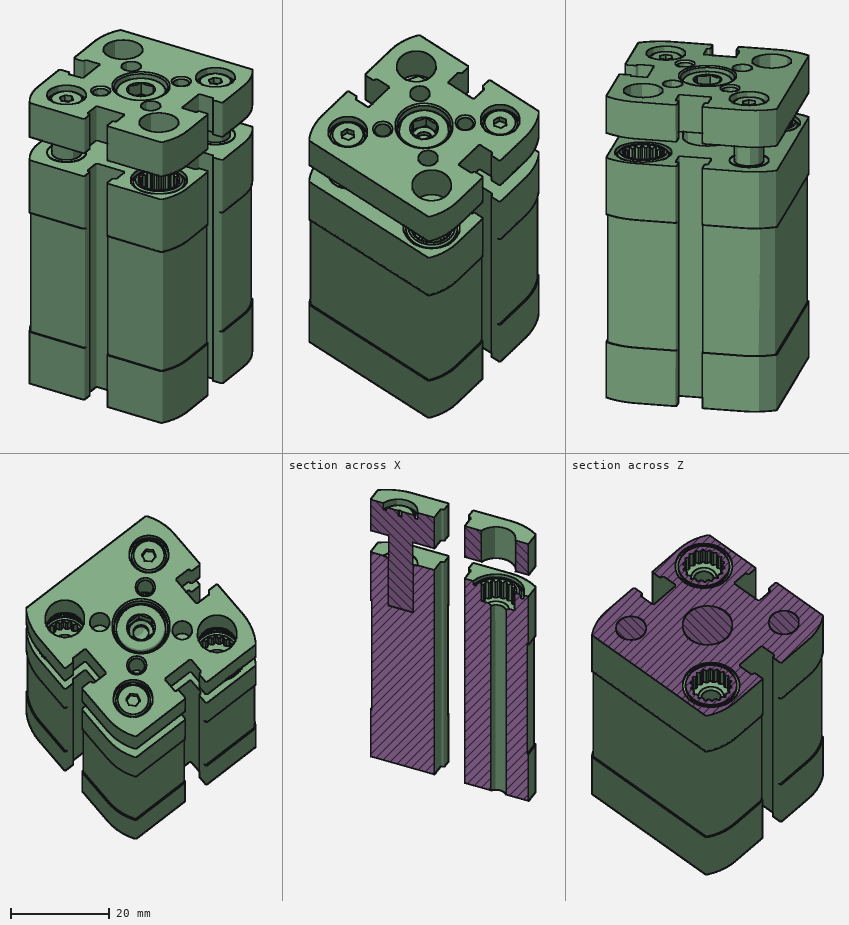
import cadquery as cq
import math

total_height = 65.5
width = 35.5
half_width = width / 2
plate_bottom = 57.5
housing_top = 52.15
bottom_cap_height = 12.05
top_cap_height = 12.3
sleeve_top = housing_top - top_cap_height
sleeve_inset = 0.25

corner_radius = 12.0
corner_start = 11.1
edge_rounding = 0.5

slot_floor = 11.8
slot_lip_inner = 15.3
slot_opening = 5.4
slot_width = 6.8
slot_rounding = 0.3
mouth_rounding = 0.3
slot_turns = (0, 90, 270)

corner_offset = 11.0
small_hole_offset = 5.95
rod_diagonal = [(1, 1), (-1, -1)]
insert_diagonal = [(-1, 1), (1, -1)]

piston_diameter = 10.0
piston_flats = 9.1
flats_bottom = 53.2
piston_top = 64.7
piston_rounding = 0.5
guide_diameter = 6.0
rod_end = sleeve_top

hexagon_ratio = 1 / math.cos(math.radians(30))
drill_cone_slope = math.tan(math.radians(30))
socket_flats = 5.0
socket_corners = socket_flats * hexagon_ratio
socket_depth = 2.7
center_drill_diameter = 3.2
center_drill_depth = 1.0

piston_bore = 11.0
piston_bore_mouth = 11.8
piston_bore_mouth_depth = 0.25
piston_gap_depth = 1.95

screw_recess = 8.0
screw_gap_depth = 1.65
screw_head = 7.0
screw_head_top = 64.65
screw_head_chamfer = 0.4
screw_socket_flats = 2.5
screw_socket_depth = 1.3
screw_socket_turn = 15

access_hole = 8.0
pin_hole = 4.0
thread_hole = 3.2
thread_mouth = 4.0

insert_recess = 11.5
insert_gap_depth = 1.0
insert_diameter = 10.5
insert_chamfer = 0.45
insert_mouth = 8.5
insert_bore = 7.5
insert_bore_depth = 4.5
spline_grooves = 18
spline_root = 8.5
spline_tip = 7.2
through_hole = 4.1
through_hole_mouth = 5.2

gland_recess = 8.0
gland_depth = 0.1


def corner_points(signs, offset):
    return [(sx * offset, sy * offset) for sx, sy in signs]


def cylinder(diameter, bottom, top, x=0, y=0):
    disc = cq.Workplane("XY", origin=(x, y, bottom)).circle(diameter / 2)
    return disc.extrude(top - bottom)


def cone(bottom_diameter, top_diameter, bottom, top, x=0, y=0):
    base = cq.Vector(x, y, bottom)
    solid = cq.Solid.makeCone(bottom_diameter / 2, top_diameter / 2, top - bottom, pnt=base)
    return cq.Workplane(solid)


def mouth_cone(hole, mouth, top, x=0, y=0):
    """45-degree countersink that opens from the hole to the mouth diameter."""
    return cone(hole, mouth, top - (mouth - hole) / 2, top, x, y)


def hexagon(flats, bottom, top, x=0, y=0, turn=0):
    prism = cq.Workplane("XY").polygon(6, flats * hexagon_ratio).extrude(top - bottom)
    return prism.rotate((0, 0, 0), (0, 0, 1), turn).translate((x, y, bottom))


def slot_cutter(half):
    """T-slot for the -Y side of a block whose side lies at the distance half."""
    reach = half + slot_width
    cutter = (
        cq.Workplane("XY")
        .moveTo(-slot_width / 2, -slot_lip_inner)
        .lineTo(-slot_width / 2, -slot_floor)
        .lineTo(slot_width / 2, -slot_floor)
        .lineTo(slot_width / 2, -slot_lip_inner)
        .lineTo(slot_opening / 2, -slot_lip_inner)
        .lineTo(slot_opening / 2, -half)
        .lineTo(slot_width, -half)
        .lineTo(slot_width, -reach)
        .lineTo(-slot_width, -reach)
        .lineTo(-slot_width, -half)
        .lineTo(-slot_opening / 2, -half)
        .lineTo(-slot_opening / 2, -slot_lip_inner)
        .close()
        .extrude(total_height)
    )
    mouth_y = -(half + slot_lip_inner) / 2
    inner = cq.selectors.BoxSelector((-slot_width, mouth_y, 0), (slot_width, 0, total_height))
    mouth = cq.selectors.BoxSelector(
        (-slot_opening, -half - mouth_rounding, 0), (slot_opening, mouth_y, total_height)
    )
    cutter = cutter.edges("|Z").edges(inner).fillet(slot_rounding)
    return cutter.edges("|Z").edges(mouth).fillet(mouth_rounding)


def slotted_block(bottom, top, inset=0.0):
    """Square block with arched corners and T-slots, its sides moved in by the inset."""
    half = half_width - inset
    radius = corner_radius - inset
    rise = half - corner_start
    corner_x = half - radius + math.sqrt(radius**2 - rise**2)
    angle = math.asin(rise / radius) / 2
    mid_x = half - radius + radius * math.cos(angle)
    mid_y = corner_start + radius * math.sin(angle)
    block = (
        cq.Workplane("XY", origin=(0, 0, bottom))
        .moveTo(half, -corner_start)
        .lineTo(half, corner_start)
        .threePointArc((mid_x, mid_y), (corner_x, half))
        .lineTo(-corner_x, half)
        .threePointArc((-mid_x, mid_y), (-half, corner_start))
        .lineTo(-half, -corner_start)
        .threePointArc((-mid_x, -mid_y), (-corner_x, -half))
        .lineTo(corner_x, -half)
        .threePointArc((mid_x, -mid_y), (half, -corner_start))
        .close()
        .extrude(top - bottom)
    )
    for side in (">Y", "<Y"):
        block = block.faces(side).edges("|Z").fillet(edge_rounding)
    cutter = slot_cutter(half)
    for turn in slot_turns:
        block = block.cut(cutter.rotate((0, 0, 0), (0, 0, 1), turn))
    return block


def spline(x, y):
    points = []
    for index in range(2 * spline_grooves):
        radius = spline_tip / 2 if index % 2 else spline_root / 2
        angle = math.pi / 4 + math.pi * (index + 1) / spline_grooves
        points.append((radius * math.cos(angle), radius * math.sin(angle)))
    outline = cq.Workplane("XY", origin=(x, y, housing_top - insert_bore_depth)).polyline(points)
    return outline.close().extrude(insert_bore_depth)


def cut_insert(body, x, y):
    """Chamfered insert in a ring gap, with a splined bore above a hole through the housing."""
    gap_floor = housing_top - insert_gap_depth
    bore_floor = housing_top - insert_bore_depth
    insert = cylinder(insert_diameter, gap_floor, housing_top, x, y)
    insert = insert.faces(">Z").chamfer(insert_chamfer)
    body = body.cut(cylinder(insert_recess, gap_floor, housing_top, x, y).cut(insert))
    body = body.cut(cylinder(insert_bore, bore_floor, housing_top, x, y))
    body = body.cut(spline(x, y))
    body = body.cut(mouth_cone(insert_bore, insert_mouth, housing_top, x, y))
    body = body.cut(cylinder(through_hole, 0, housing_top, x, y))
    return body.cut(mouth_cone(through_hole, through_hole_mouth, bore_floor, x, y))


def make_housing():
    body = slotted_block(0, bottom_cap_height)
    body = body.union(slotted_block(bottom_cap_height, sleeve_top, sleeve_inset))
    body = body.union(slotted_block(sleeve_top, housing_top))
    body = body.cut(cylinder(piston_diameter, rod_end, housing_top))
    for x, y in corner_points(rod_diagonal, corner_offset):
        body = body.cut(cylinder(guide_diameter, rod_end, housing_top, x, y))
        body = body.cut(cylinder(gland_recess, housing_top - gland_depth, housing_top, x, y))
    for x, y in corner_points(insert_diagonal, corner_offset):
        body = cut_insert(body, x, y)
    return body


def piston_rod():
    rod = cylinder(piston_diameter, rod_end, piston_top)
    rod = rod.faces(">Z").edges().fillet(piston_rounding)
    beside_flats = (
        cq.Workplane("XY", origin=(0, 0, flats_bottom))
        .rect(width, width)
        .rect(width / 2, piston_flats)
        .extrude(plate_bottom - flats_bottom)
    )
    return rod.cut(beside_flats)


def piston_socket():
    """Hexagon socket with a flared mouth, a conical floor and a pointed centre drilling."""
    socket_floor = piston_top - socket_depth
    flare_depth = (socket_corners - socket_flats) / 2 * drill_cone_slope
    cone_tip = socket_floor - socket_flats / 2 * drill_cone_slope
    drill_tip = cone_tip - center_drill_depth
    drill_shoulder = drill_tip + center_drill_diameter / 2 * drill_cone_slope
    socket = hexagon(socket_flats, socket_floor, piston_top)
    socket = socket.union(cone(socket_flats, socket_corners, piston_top - flare_depth, piston_top))
    socket = socket.union(cone(0, socket_flats, cone_tip, socket_floor))
    socket = socket.union(cylinder(center_drill_diameter, drill_shoulder, socket_floor))
    return socket.union(cone(0, center_drill_diameter, drill_tip, drill_shoulder))


def add_piston(body):
    gap_floor = total_height - piston_gap_depth
    mouth_bottom = total_height - piston_bore_mouth_depth
    body = body.cut(cylinder(piston_bore, gap_floor, total_height))
    body = body.cut(cone(piston_bore, piston_bore_mouth, mouth_bottom, total_height))
    return body.union(piston_rod()).cut(piston_socket())


def add_guide_rod(body, x, y):
    """Guide rod under the plate and its screw head, sunk in the top of the plate."""
    gap_floor = total_height - screw_gap_depth
    socket_floor = screw_head_top - screw_socket_depth
    head = cylinder(screw_head, gap_floor, screw_head_top, x, y)
    head = head.faces(">Z").chamfer(screw_head_chamfer)
    body = body.cut(cylinder(screw_recess, gap_floor, total_height, x, y)).union(head)
    body = body.cut(
        hexagon(screw_socket_flats, socket_floor, screw_head_top, x, y, screw_socket_turn)
    )
    return body.union(cylinder(guide_diameter, rod_end, plate_bottom, x, y))


def make_plate():
    body = add_piston(slotted_block(plate_bottom, total_height))
    for x, y in corner_points(rod_diagonal, corner_offset):
        body = add_guide_rod(body, x, y)
    for x, y in corner_points(rod_diagonal, small_hole_offset):
        body = body.cut(cylinder(thread_hole, plate_bottom, total_height, x, y))
        body = body.cut(mouth_cone(thread_hole, thread_mouth, total_height, x, y))
    for x, y in corner_points(insert_diagonal, corner_offset):
        body = body.cut(cylinder(access_hole, plate_bottom, total_height, x, y))
    for x, y in corner_points(insert_diagonal, small_hole_offset):
        body = body.cut(cylinder(pin_hole, plate_bottom, total_height, x, y))
    return body


housing = make_housing()
moving_plate = make_plate()
result = cq.Compound.makeCompound([housing.val(), moving_plate.val()])